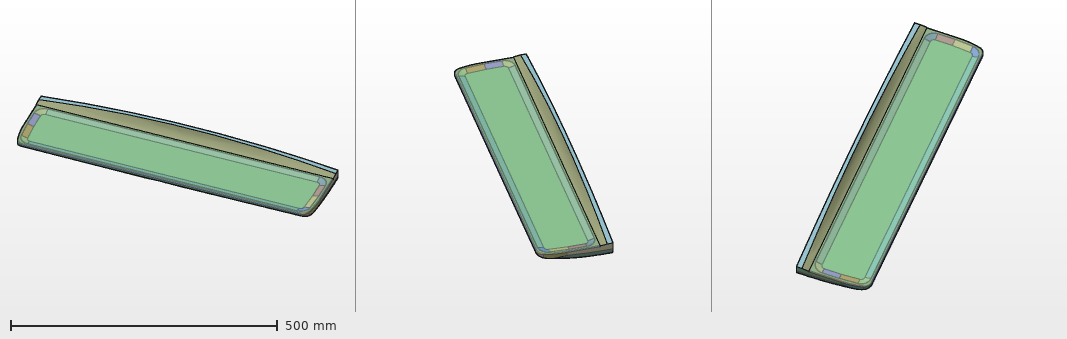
import cadquery as cq
import math

length = 600.0
depth = 145.0
half_length = length / 2

belly_depth = 61.0
end_depth = 27.0
lip_depth = 6.0
lip_end_depth = 5.5
belly_flat = 18.0
end_radius_back = 19.0
end_radius_front = 3.0
section_count = 7

flank_start = 90.0
flank_end = 134.0
flank_inset = 5.5
corner_inset = 18.0

crest_height = 19.0
crest_width = 8.0
end_crest_height = 2.0
end_crest_width = 11.5
cove_foot = 25.0
cove_sag = 0.1

tray_half_length = 294.0
tray_back = 29.5
tray_front = 140.0
tray_taper_start = 84.0
tray_taper = 3.5
tray_radius = 20.0
tray_wall_width = 12.5
tray_depth = 3.5

lip_round = 2.0
rim_round = 2.0


def underside_section(distance):
    """Cross-section at a distance from the wall, with an arched bottom and rounded ends."""
    arc_run = depth - belly_flat
    belly_drop = belly_depth - lip_depth
    arc_radius = (arc_run**2 + belly_drop**2) / (2 * belly_drop)
    offset = max(distance - belly_flat, 0)
    rise = arc_radius - math.sqrt(arc_radius**2 - offset**2)
    fullness = 1 - rise / belly_drop
    middle = lip_depth + fullness * belly_drop
    end = lip_end_depth + fullness * (end_depth - lip_end_depth)
    radius = end_radius_front + fullness * (end_radius_back - end_radius_front)
    arch_end_x = half_length - radius
    arch_end = middle - (middle - end) * (arch_end_x / half_length) ** 2
    side_end = arch_end - radius
    mid_corner = radius * (1 - math.sqrt(0.5))
    corner_x = half_length - mid_corner
    corner_z = -(arch_end - mid_corner)
    return (
        cq.Workplane("XZ", origin=(0, -distance, 0))
        .moveTo(-half_length, 0)
        .lineTo(half_length, 0)
        .lineTo(half_length, -side_end)
        .threePointArc((corner_x, corner_z), (arch_end_x, -arch_end))
        .threePointArc((0, -middle), (-arch_end_x, -arch_end))
        .threePointArc((-corner_x, corner_z), (-half_length, -side_end))
        .close()
        .val()
    )


def make_body():
    """Belly lofted from the wall to the lip and trimmed to the plan outline."""
    steps = [i / (section_count - 1) for i in range(section_count)]
    wires = [underside_section(depth * step) for step in steps]
    belly = cq.Workplane(cq.Solid.makeLoft(wires))

    flank_x = half_length - flank_inset
    front_x = half_length - corner_inset
    plan = (
        cq.Workplane("XY", origin=(0, 0, -belly_depth - 6))
        .moveTo(-half_length, 0)
        .lineTo(-half_length, -flank_start)
        .tangentArcPoint((-flank_x, -flank_end), relative=False)
        .tangentArcPoint((-front_x, -depth), relative=False)
        .lineTo(0, -depth)
        .lineTo(0, 0)
        .close()
        .extrude(belly_depth + 12)
    )
    plan = plan.union(plan.mirror("YZ"))
    return belly.intersect(plan)


def upstand_section(x, width, height):
    """Profile of the upstand, sunk to the lip depth so that it merges with the body."""
    run = cove_foot - width
    sag = cove_sag * height / crest_height
    cove_mid = (
        -(width + cove_foot) / 2 + sag * height,
        height / 2 - sag * run,
    )
    return (
        cq.Workplane("YZ", origin=(x, 0, 0))
        .moveTo(0, -lip_depth)
        .lineTo(0, height)
        .lineTo(-width, height)
        .threePointArc(cove_mid, (-cove_foot, 0))
        .lineTo(-cove_foot, -lip_depth)
        .close()
        .val()
    )


def make_upstand():
    """Upstand that is tallest in the middle and falls towards both ends."""
    wires = [
        upstand_section(-half_length, end_crest_width, end_crest_height),
        upstand_section(0, crest_width, crest_height),
        upstand_section(half_length, end_crest_width, end_crest_height),
    ]
    return cq.Workplane(cq.Solid.makeLoft(wires))


def make_tray():
    """Shallow recess with sloping walls around a flat floor."""
    front_half = tray_half_length - tray_taper
    block = (
        cq.Workplane("XY")
        .polyline([
            (-tray_half_length, -tray_back),
            (-tray_half_length, -tray_taper_start),
            (-front_half, -tray_front),
            (front_half, -tray_front),
            (tray_half_length, -tray_taper_start),
            (tray_half_length, -tray_back),
        ])
        .close()
        .extrude(-tray_depth)
        .edges("|Z")
        .fillet(tray_radius)
    )
    rim = block.faces(">Z").val().outerWire()
    floor = rim.offset2D(-tray_wall_width)[0].translate(cq.Vector(0, 0, -tray_depth))
    return cq.Workplane(cq.Solid.makeLoft([rim, floor], True))


body = make_body()
body = body.faces(">Z").edges("not >Y").fillet(lip_round)
tray_rim = cq.selectors.BoxSelector(
    (-tray_half_length - rim_round, -tray_front - rim_round, -rim_round / 2),
    (tray_half_length + rim_round, -tray_back + rim_round, rim_round / 2),
)
body = body.cut(make_tray()).edges(tray_rim).fillet(rim_round)
result = body.union(make_upstand())